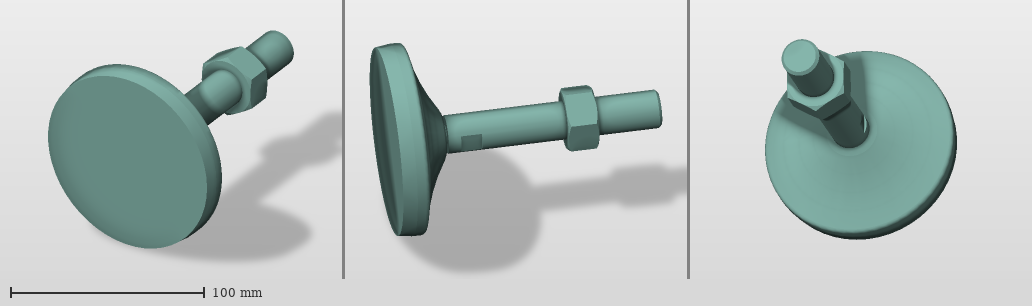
import cadquery as cq
import math


foot_radius = 50.0
sole_radius = 49.0
taper_height = 7.4
rim_height = 13.6
rim_fillet = 2.0
foot_height = 30.0
hub_radius = 11.5
hub_fillet = 8.0
flare_sag = 2.3

neck_radius = 5.0
neck_length = 1.0
stud_radius = 10.0
stud_bottom = foot_height + neck_length
total_length = 143.0
stud_chamfer = 1.5

flats_across = 17.0
flats_length = 11.0
collar_length = 6.5
flats_bottom = stud_bottom + collar_length

nut_across_flats = 30.0
nut_bottom = 92.9
nut_height = 16.0
nut_chamfer_angle = 30.0
nut_sides = 6


def cylinder(radius, bottom, height):
    """Solid cylinder along +Y, starting at Y = bottom."""
    return cq.Workplane("XZ", origin=(0, bottom, 0)).circle(radius).extrude(-height)


def fillet_ring(solid, height, radius):
    """Round the circular edge that lies at Y = height."""
    margin = 0.1
    reach = 2 * foot_radius
    at_height = cq.selectors.BoxSelector(
        (-reach, height - margin, -reach),
        (reach, height + margin, reach),
        boundingbox=True,
    )
    return solid.edges(at_height).fillet(radius)


def make_foot():
    """Revolved foot with a tapered sole band, a concave flare and rounded rim and hub."""
    profile = (
        cq.Workplane("XY")
        .lineTo(sole_radius, 0)
        .lineTo(foot_radius, taper_height)
        .lineTo(foot_radius, rim_height)
        .sagittaArc((hub_radius, foot_height), flare_sag)
        .lineTo(0, foot_height)
        .close()
    )
    foot = profile.revolve(360, (0, 0, 0), (0, 1, 0))
    foot = fillet_ring(foot, rim_height, rim_fillet)
    return fillet_ring(foot, foot_height, hub_fillet)


def make_stud():
    """Round stud with a chamfered tip and two wrench flats facing -X and +X."""
    stud = cylinder(stud_radius, stud_bottom, total_length - stud_bottom)
    stud = stud.faces(">Y").chamfer(stud_chamfer)
    flat_depth = stud_radius - flats_across / 2
    for side in (-1, 1):
        cutter = cq.Workplane("XY").box(flat_depth, flats_length, 2 * stud_radius)
        x_centre = side * (flats_across + flat_depth) / 2
        stud = stud.cut(cutter.translate((x_centre, flats_bottom + flats_length / 2, 0)))
    return stud


def make_nut():
    """Hexagon nut with flats facing -X and +X and conical chamfers at both ends."""
    flat_radius = nut_across_flats / 2
    half_side_angle = 180 / nut_sides
    corner_radius = flat_radius / math.cos(math.radians(half_side_angle))
    nut_top = nut_bottom + nut_height
    hexagon = (
        cq.Workplane("XZ", origin=(0, nut_bottom, 0))
        .polygon(nut_sides, 2 * corner_radius)
        .extrude(-nut_height)
        .rotate((0, 0, 0), (0, 1, 0), half_side_angle)
    )
    chamfer_height = (corner_radius - flat_radius) * math.tan(math.radians(nut_chamfer_angle))
    envelope = (
        cq.Workplane("XY")
        .moveTo(0, nut_bottom)
        .lineTo(flat_radius, nut_bottom)
        .lineTo(corner_radius, nut_bottom + chamfer_height)
        .lineTo(corner_radius, nut_top - chamfer_height)
        .lineTo(flat_radius, nut_top)
        .lineTo(0, nut_top)
        .close()
        .revolve(360, (0, 0, 0), (0, 1, 0))
    )
    return hexagon.intersect(envelope)


neck = cylinder(neck_radius, foot_height, neck_length)
result = make_foot().union(neck).union(make_stud()).union(make_nut())